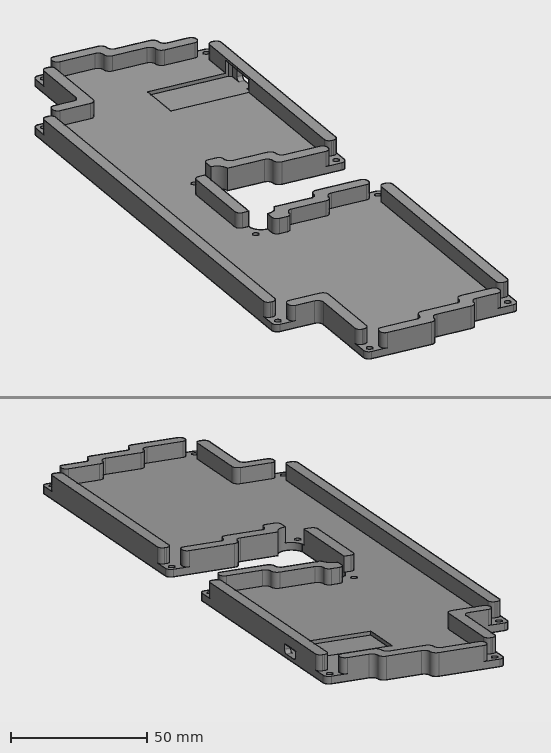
import cadquery as cq

key_pitch = 19.05
key_rows = 4
half_width_keys = 6.5
half_front_keys = 4.625
outer_margin = 5.75
inner_margin = 1.0
wall = outer_margin - inner_margin
plate_radius = 2.25
step_radius = 2.37
end_radius = 2.0

total_height = 9.25
plate_thickness = 3.0

stagger = key_pitch / 4

x_row_bottom = -(half_width_keys * key_pitch + outer_margin)
x_row_middle = x_row_bottom + stagger
x_row_top = x_row_middle + stagger
y_top = key_rows * key_pitch / 2 + outer_margin
y_bottom = -y_top
y_shoulder = -key_pitch - outer_margin
x_front = -(half_front_keys * key_pitch + outer_margin)
y_step_low = wall
y_step_high = key_pitch + wall

x_notch_top = -key_pitch + outer_margin
x_notch_low = x_notch_top - stagger
x_wall_foot = x_notch_low - stagger - wall
y_notch_step = key_pitch - wall
y_notch_floor = -key_pitch + outer_margin
relief_radius = 5.0
relief_x = -17.0
relief_y = y_notch_floor + relief_radius

corner_gap = 6.75
top_wall_gap = 6.9

screw_diameter = 2.45
screw_inset = 3.0
notch_screw_x = -key_pitch - stagger
notch_screw_y = -14.1

pocket_width = 18.0
pocket_x = -89.8
pocket_front_y = 6.6
pocket_depth = 1.5
recess_depth = 2.3
recess_chamfer = 1.1
recess_top = 8.2
port_width = 9.2
port_top = 5.0
port_radius = 1.5
pocket_floor = plate_thickness - pocket_depth
recess_back_y = y_top - wall + recess_depth
slope_start_y = recess_back_y - recess_chamfer


def prism(corners, height):
    """Extrude a polygon of (x, y, radius) corners, rounding each vertical edge by its radius."""
    body = cq.Workplane("XY").polyline([(x, y) for x, y, _ in corners]).close().extrude(height)
    for x, y, radius in corners:
        if radius > 0:
            edge = cq.selectors.NearestToPointSelector((x, y, height / 2))
            body = body.edges(edge).fillet(radius)
    return body


def plate_half():
    return prism(
        [
            (0, y_bottom, 0),
            (x_front, y_bottom, plate_radius),
            (x_front, y_shoulder, step_radius),
            (x_row_bottom, y_shoulder, plate_radius),
            (x_row_bottom, y_step_low, step_radius),
            (x_row_middle, y_step_low, step_radius),
            (x_row_middle, y_step_high, step_radius),
            (x_row_top, y_step_high, step_radius),
            (x_row_top, y_top, plate_radius),
            (x_notch_top, y_top, plate_radius),
            (x_notch_top, y_notch_step, step_radius),
            (x_notch_low, y_notch_step, step_radius),
            (x_notch_low, y_notch_floor, 0),
            (0, y_notch_floor, 0),
        ],
        plate_thickness,
    )


def side_wall():
    y_start = y_shoulder + corner_gap
    y_end = y_top - corner_gap
    return prism(
        [
            (x_row_bottom, y_start, end_radius),
            (x_row_bottom, y_step_low, step_radius),
            (x_row_middle, y_step_low, step_radius),
            (x_row_middle, y_step_high, step_radius),
            (x_row_top, y_step_high, step_radius),
            (x_row_top, y_end, end_radius),
            (x_row_top + wall, y_end, end_radius),
            (x_row_top + wall, key_pitch + inner_margin, step_radius),
            (x_row_middle + wall, key_pitch + inner_margin, step_radius),
            (x_row_middle + wall, inner_margin, step_radius),
            (x_row_bottom + wall, inner_margin, step_radius),
            (x_row_bottom + wall, y_start, end_radius),
        ],
        total_height,
    )


def shoulder_wall():
    x_start = x_row_bottom + corner_gap
    y_end = y_bottom + corner_gap
    return prism(
        [
            (x_start, y_shoulder, end_radius),
            (x_front, y_shoulder, step_radius),
            (x_front, y_end, end_radius),
            (x_front + wall, y_end, end_radius),
            (x_front + wall, y_shoulder + wall, step_radius),
            (x_start, y_shoulder + wall, end_radius),
        ],
        total_height,
    )


def back_wall():
    x_start = x_row_top + top_wall_gap
    x_end = x_notch_top - top_wall_gap
    return prism(
        [
            (x_start, y_top, end_radius),
            (x_end, y_top, end_radius),
            (x_end, y_top - wall, end_radius),
            (x_start, y_top - wall, end_radius),
        ],
        total_height,
    )


def notch_wall():
    y_start = y_top - corner_gap
    return prism(
        [
            (x_notch_top, y_start, end_radius),
            (x_notch_top, y_notch_step, step_radius),
            (x_notch_low, y_notch_step, step_radius),
            (x_notch_low, relief_y, 0),
            (x_wall_foot, relief_y, end_radius),
            (x_wall_foot, -inner_margin, end_radius),
            (x_notch_low - wall, -inner_margin, step_radius),
            (x_notch_low - wall, key_pitch - inner_margin, step_radius),
            (x_notch_top - wall, key_pitch - inner_margin, step_radius),
            (x_notch_top - wall, y_start, end_radius),
        ],
        total_height,
    )


def notch_floor_wall_half():
    return prism(
        [
            (relief_x, y_notch_floor, 0),
            (0, y_notch_floor, 0),
            (0, y_notch_floor - wall, 0),
            (relief_x, y_notch_floor - wall, end_radius),
        ],
        total_height,
    )


def front_wall_half():
    x_start = x_front + corner_gap
    return prism(
        [
            (x_start, y_bottom, end_radius),
            (0, y_bottom, 0),
            (0, y_bottom + wall, 0),
            (x_start, y_bottom + wall, end_radius),
        ],
        total_height,
    )


def screw_holes():
    centers = [
        (x_row_top + screw_inset, y_top - screw_inset),
        (x_notch_top - screw_inset, y_top - screw_inset),
        (x_row_bottom + screw_inset, y_shoulder + screw_inset),
        (x_front + screw_inset, y_bottom + screw_inset),
        (notch_screw_x, notch_screw_y),
    ]
    radius = screw_diameter / 2
    return cq.Workplane("XY").pushPoints(centers).circle(radius).extrude(total_height)


def notch_relief():
    """Round relief in the lower corner of the central cutout."""
    return cq.Workplane("XY").center(relief_x, relief_y).circle(relief_radius).extrude(total_height)


def case_half():
    body = plate_half()
    for wall_part in (
        side_wall(),
        shoulder_wall(),
        back_wall(),
        notch_wall(),
        notch_floor_wall_half(),
        front_wall_half(),
    ):
        body = body.union(wall_part)
    return body.cut(notch_relief()).cut(screw_holes())


def controller_pocket():
    """Shallow pocket in the plate that runs on as a chamfered recess in the back wall."""
    length = recess_back_y - pocket_front_y
    height = recess_top - pocket_floor
    block = cq.Workplane("XY").box(pocket_width, length, height, centered=(True, False, False))
    back_edges = block.faces(">Y").edges("not <Z")
    return back_edges.chamfer(recess_chamfer).translate((pocket_x, pocket_front_y, pocket_floor))


def connector_port():
    """Port through the back wall whose roof falls at 45 degrees from the recess roof."""
    slope_end_y = slope_start_y + recess_top - port_top
    profile = [
        (slope_start_y, pocket_floor),
        (slope_start_y, recess_top),
        (slope_end_y, port_top),
        (y_top, port_top),
        (y_top, pocket_floor),
    ]
    port = cq.Workplane("YZ").polyline(profile).close().extrude(port_width / 2, both=True)
    return port.edges("|Y and <Z").fillet(port_radius).translate((pocket_x, 0, 0))


half = case_half()
result = half.union(half.mirror("YZ")).cut(controller_pocket()).cut(connector_port())